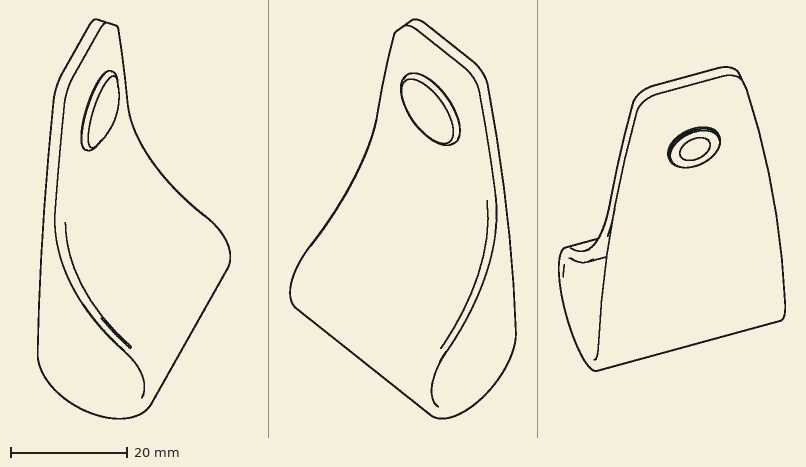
import cadquery as cq
import math

height = 73.0
thickness = 2.0
leg_gap = 0.1
loop_diameter = 22.0
loop_radius = loop_diameter / 2
neck_radius = 32.0
edge_round = 0.2

half_width = 17.0
side_radius = 340.9
corner_radius = 4.0

rivet_z = 58.9
rivet_overhang = 0.62
shank_radius = 4.75
shank_chamfer = 0.2
bore_radius = 2.8
head_radius = 7.15
head_height = 3.2
head_chamfer = 0.2
rim_start = 0.45
rim_end = 1.2
dome_radius = 6.5

stack = 2 * thickness + leg_gap


def point_on_arc(center, radius, angle):
    return (center[0] + radius * math.cos(angle), center[1] + radius * math.sin(angle))


def make_folded_sheet():
    """Side profile of the folded sheet, extruded over the full width."""
    loop = (loop_radius, loop_radius)
    neck_x = stack + neck_radius
    center_distance = loop_radius + neck_radius
    junction = math.acos((neck_x - loop_radius) / center_distance)
    neck = point_on_arc(loop, center_distance, junction)
    loop_middle = (junction - math.pi) / 2
    neck_middle = math.pi + junction / 2
    inner_loop = loop_radius - thickness
    outer_neck = neck_radius + thickness

    return (
        cq.Workplane("XZ")
        .moveTo(0, height)
        .lineTo(0, loop_radius)
        .threePointArc(
            point_on_arc(loop, loop_radius, loop_middle), point_on_arc(loop, loop_radius, junction)
        )
        .threePointArc(point_on_arc(neck, neck_radius, neck_middle), (stack, neck[1]))
        .lineTo(stack, height)
        .lineTo(stack - thickness, height)
        .lineTo(stack - thickness, neck[1])
        .threePointArc(
            point_on_arc(neck, outer_neck, neck_middle), point_on_arc(loop, inner_loop, junction)
        )
        .threePointArc(point_on_arc(loop, inner_loop, loop_middle), (thickness, loop_radius))
        .lineTo(thickness, height)
        .close()
        .extrude(half_width, both=True)
    )


def make_tapered_blank():
    """Block with curved, tapering sides and rounded top corners."""

    def side_y(z):
        return half_width - side_radius + math.sqrt(side_radius**2 - z**2)

    middle = height / 2
    return (
        cq.Workplane("YZ")
        .moveTo(-half_width, 0)
        .lineTo(half_width, 0)
        .threePointArc((side_y(middle), middle), (side_y(height), height))
        .lineTo(-side_y(height), height)
        .threePointArc((-side_y(middle), middle), (-half_width, 0))
        .close()
        .extrude(loop_diameter)
        .edges("|X and >Z")
        .fillet(corner_radius)
    )


def make_strap():
    strap = make_folded_sheet().intersect(make_tapered_blank())
    bend_limits = cq.selectors.StringSyntaxSelector("|Y") - cq.selectors.StringSyntaxSelector(">Z")
    rim_edges = cq.selectors.StringSyntaxSelector("not |X") - bend_limits
    strap = strap.edges(rim_edges).fillet(edge_round)
    rivet_hole = cq.Workplane("YZ").center(0, rivet_z).circle(shank_radius).extrude(stack)
    return strap.cut(rivet_hole)


def make_rivet():
    """Turned rivet with a domed head and a bore from the shank end to the head."""
    tip = -rivet_overhang
    dome_top = stack + head_height
    dome_base = stack + rim_end
    dome_height = dome_top - dome_base
    sphere_radius = (dome_radius**2 + dome_height**2) / (2 * dome_height)
    half_angle = math.asin(dome_radius / sphere_radius) / 2
    dome_middle = point_on_arc((dome_top - sphere_radius, 0), sphere_radius, half_angle)
    profile = (
        cq.Workplane("XY")
        .moveTo(tip, bore_radius)
        .lineTo(tip, shank_radius - shank_chamfer)
        .lineTo(tip + shank_chamfer, shank_radius)
        .lineTo(stack, shank_radius)
        .lineTo(stack, head_radius - head_chamfer)
        .lineTo(stack + head_chamfer, head_radius)
        .lineTo(stack + rim_start, head_radius)
        .tangentArcPoint((dome_base, dome_radius), relative=False)
        .threePointArc(dome_middle, (dome_top, 0))
        .lineTo(stack, 0)
        .lineTo(stack, bore_radius)
        .close()
    )
    return profile.revolve(360, (0, 0, 0), (1, 0, 0)).translate((0, 0, rivet_z))


strap = make_strap()
rivet = make_rivet()

result = cq.Compound.makeCompound([strap.solids().val(), rivet.val()])